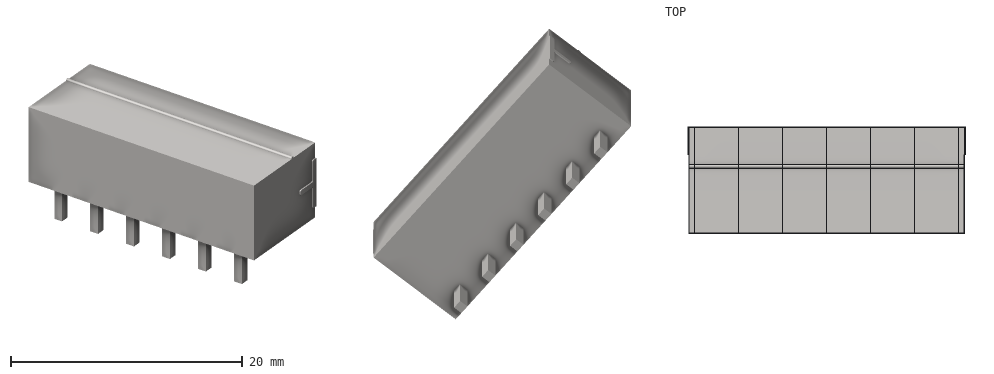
import cadquery as cq

overall_length = 24.05
overall_height = 11.1
depth = 9.2

module_count = 6
end_plate_thickness = 0.5
left_key_height = 0.1
right_key_height = 0.12
plates_and_keys = 2 * end_plate_thickness + left_key_height + right_key_height
module_pitch = (overall_length - plates_and_keys) / module_count
row_half_length = module_count * module_pitch / 2

ridge_height = 0.17
ridge_flat_width = 0.02
ridge_from_front = 5.8

pin_width = 0.82
pin_length = 3.49
pin_from_front = 1.42

body_height = overall_height - pin_length - ridge_height

key_bar_length = 4.8
key_bar_width = 0.5
key_stem_width = 0.5
key_reach = 2.38
key_center_height = 3.54
key_corner_radius = 0.15


def profiled_block(left_x, length):
    """Block with the common ridged section, starting at left_x; its front bottom edge is on the X axis."""
    flat_back = ridge_from_front + ridge_flat_width / 2
    flat_front = ridge_from_front - ridge_flat_width / 2
    ridge_top = body_height + ridge_height
    return (
        cq.Workplane("YZ", origin=(left_x, 0, 0))
        .lineTo(depth, 0)
        .lineTo(depth, body_height)
        .lineTo(flat_back + ridge_height, body_height)
        .radiusArc((flat_back, ridge_top), -ridge_height)
        .lineTo(flat_front, ridge_top)
        .radiusArc((flat_front - ridge_height, body_height), -ridge_height)
        .lineTo(0, body_height)
        .close()
        .extrude(length)
    )


def make_module(left_x):
    """One module: a ridged block with a square pin centred in X under it."""
    pin = cq.Workplane("XY").box(pin_width, pin_width, pin_length, centered=(True, True, False))
    pin = pin.translate((left_x + module_pitch / 2, pin_from_front, -pin_length))
    return profiled_block(left_x, module_pitch).union(pin)


def make_key(left_x, height):
    """T-shaped key: an upright bar along the back edge with a stem reaching towards the front."""
    bar_front = depth - key_bar_width
    bar = (
        cq.Workplane("YZ", origin=(left_x, 0, 0))
        .center(bar_front + key_bar_width / 2, key_center_height)
        .rect(key_bar_width, key_bar_length)
        .extrude(height)
    )
    stem = (
        cq.Workplane("YZ", origin=(left_x, 0, 0))
        .center(depth - key_reach / 2, key_center_height)
        .rect(key_reach, key_stem_width)
        .extrude(height)
    )
    corners_in_front_of_back_face = cq.selectors.BoxSelector(
        (left_x, 0, 0),
        (left_x + height, depth - key_bar_width / 2, body_height),
    )
    return bar.union(stem).edges("|X").edges(corners_in_front_of_back_face).fillet(key_corner_radius)


def make_end_plate(plate_left_x, key_left_x, key_height):
    """One end plate: a thin ridged block carrying a key on its outer face."""
    plate = profiled_block(plate_left_x, end_plate_thickness)
    return plate.union(make_key(key_left_x, key_height))


modules = [make_module(-row_half_length + index * module_pitch) for index in range(module_count)]

left_face_x = -row_half_length - end_plate_thickness
left_end_plate = make_end_plate(left_face_x, left_face_x - left_key_height, left_key_height)

right_face_x = row_half_length + end_plate_thickness
right_end_plate = make_end_plate(row_half_length, right_face_x, right_key_height)

result = cq.Compound.makeCompound(
    [left_end_plate.val(), right_end_plate.val(), *[module.val() for module in modules]]
)